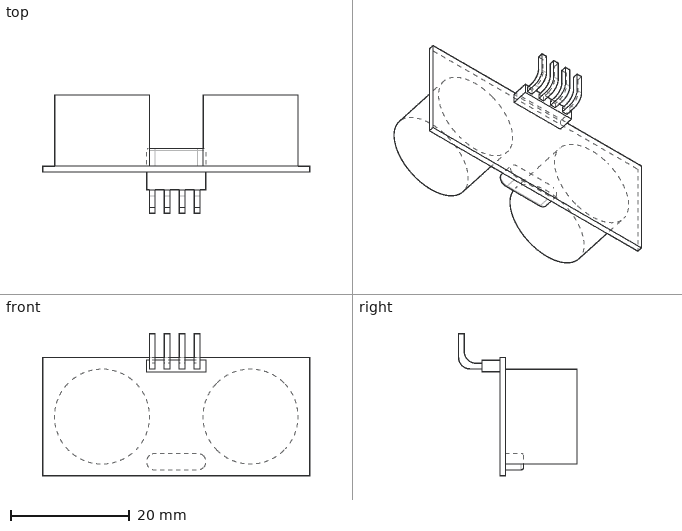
import cadquery as cq

board_length = 45.0
board_height = 20.0
board_thickness = 1.0

transducer_diameter = 16.0
transducer_depth = 12.0
transducer_spacing = 25.0

can_flat_length = 7.2
can_width = 2.8
can_depth = 3.0
can_edge_radius = 0.4
can_bottom_gap = 1.0

header_length = 10.0
header_depth = 3.0
header_height = 2.0
header_top_gap = 0.5

pin_count = 4
pin_size = 1.0
pin_pitch = 2.5
pin_row_offset = -0.25
pin_reach = 3.95
pin_rise = 4.0
pin_bend_radius = 2.0

board_top = board_height / 2
header_front = -board_thickness - header_depth
header_centre_z = board_top - header_top_gap - header_height / 2


def block(length, depth, height, back_y, centre_z):
    """Box centred on X, running from back_y towards the front."""
    return cq.Workplane("XY").box(length, depth, height).translate((0, back_y - depth / 2, centre_z))


def make_transducers():
    return (
        cq.Workplane("XZ")
        .pushPoints([(-transducer_spacing / 2, 0), (transducer_spacing / 2, 0)])
        .circle(transducer_diameter / 2)
        .extrude(-transducer_depth)
    )


def make_crystal_can():
    centre_z = -board_top + can_bottom_gap + can_width / 2
    return (
        cq.Workplane("XZ")
        .center(0, centre_z)
        .slot2D(can_flat_length + can_width, can_width)
        .extrude(-can_depth)
        .faces(">Y")
        .edges()
        .fillet(can_edge_radius)
    )


def make_pin(centre_x):
    """L-shaped square pin: out from the header, then upwards."""
    tip_y = header_front - pin_reach
    inner_y = tip_y + pin_size
    bottom_z = header_centre_z - pin_size / 2
    upper_z = bottom_z + pin_size
    tip_z = board_top + pin_rise
    return (
        cq.Workplane("YZ", origin=(centre_x - pin_size / 2, 0, 0))
        .moveTo(header_front, bottom_z)
        .lineTo(tip_y + pin_bend_radius, bottom_z)
        .radiusArc((tip_y, bottom_z + pin_bend_radius), pin_bend_radius)
        .lineTo(tip_y, tip_z)
        .lineTo(inner_y, tip_z)
        .lineTo(inner_y, upper_z + pin_bend_radius)
        .radiusArc((inner_y + pin_bend_radius, upper_z), -pin_bend_radius)
        .lineTo(header_front, upper_z)
        .close()
        .extrude(pin_size)
    )


board = block(board_length, board_thickness, board_height, 0, 0)
header = block(header_length, header_depth, header_height, -board_thickness, header_centre_z)

result = board.union(make_transducers()).union(make_crystal_can()).union(header)
for index in range(pin_count):
    pin_x = pin_row_offset + (index - (pin_count - 1) / 2) * pin_pitch
    result = result.union(make_pin(pin_x))